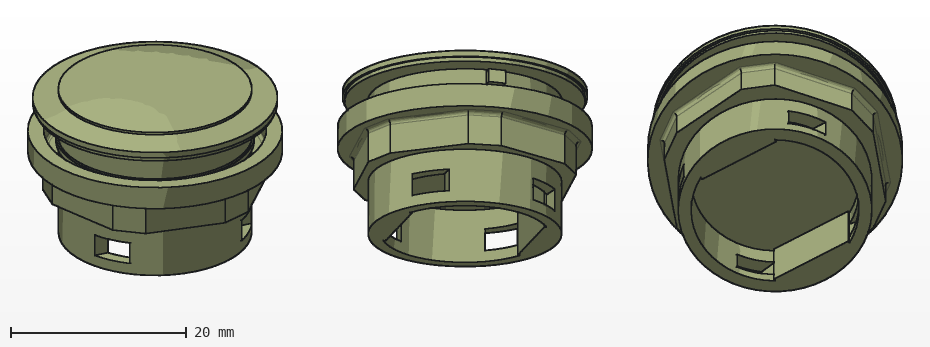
import cadquery as cq
import math

NUT_BOTTOM = 6.3
FLANGE_BOTTOM = 10.3
FLANGE_TOP = 13.0
CAP_BOTTOM = 16.0
RIM_BOTTOM = 16.5
RIM_TOP = 17.2
CROWN_BOTTOM = 17.98
CROWN_EDGE = 18.27
TOTAL_HEIGHT = 19.79

BARREL_DIAMETER = 22.05
NECK_DIAMETER = 22.2
FLANGE_DIAMETER = 29.0
RECESS_DIAMETER = 25.35
CAP_STEP_DIAMETER = 27.4
RIM_DIAMETER = 27.9
CROWN_DIAMETER = 22.05
CROWN_SEAT_DIAMETER = 21.6
BORE_DIAMETER = 19.1

LIP_DIAMETER = 22.6
LIP_TOP = 12.25
LIP_BOTTOM = 11.6
NECK_FOOT = 12.38
GROOVE_DIAMETER = 21.8
GROOVE_BOTTOM = 11.85

NUT_ACROSS_FLATS = 24.05
NUT_ACROSS_CORNERS = 25.55
NUT_CORNER_ANGLE = 22.5
HEX_SIDES = 6
NUT_FILLET = 0.5
RECESS_FILLET = 0.4

WINDOW_BOTTOM = 1.35
WINDOW_TOP = 3.95
WINDOW_INNER_X = 5.03
WINDOW_OUTER_X = 8.52
WINDOW_BORE_X = 8.17

LUG_INNER_X = 7.9

TAB_BOTTOM = 14.2
TAB_HEIGHT = 1.55
TAB_WIDTH = 2.0
TAB_REACH = 12.1
TAB_ROOT = 10.1


def on_circle(diameter, offset):
    """Distance from the centre line to a circle, at a sideways offset from that line."""
    return math.sqrt((diameter / 2) ** 2 - offset**2)


def make_body():
    """Barrel, neck, cap and domed crown, revolved about Z."""
    crown_radius = CROWN_DIAMETER / 2
    dome_rise = TOTAL_HEIGHT - CROWN_EDGE
    dome_radius = (crown_radius**2 + dome_rise**2) / (2 * dome_rise)
    middle_x = crown_radius / 2
    middle_z = TOTAL_HEIGHT - dome_radius + on_circle(2 * dome_radius, middle_x)
    return (
        cq.Workplane("XZ")
        .moveTo(0, 0)
        .lineTo(BARREL_DIAMETER / 2, 0)
        .lineTo(BARREL_DIAMETER / 2, LIP_BOTTOM)
        .lineTo(LIP_DIAMETER / 2, LIP_BOTTOM)
        .lineTo(LIP_DIAMETER / 2, LIP_TOP)
        .lineTo(GROOVE_DIAMETER / 2, GROOVE_BOTTOM)
        .lineTo(NECK_DIAMETER / 2, NECK_FOOT)
        .lineTo(NECK_DIAMETER / 2, CAP_BOTTOM)
        .lineTo(CAP_STEP_DIAMETER / 2, CAP_BOTTOM)
        .lineTo(CAP_STEP_DIAMETER / 2, RIM_BOTTOM)
        .lineTo(RIM_DIAMETER / 2, RIM_BOTTOM)
        .lineTo(RIM_DIAMETER / 2, RIM_TOP)
        .lineTo(CROWN_SEAT_DIAMETER / 2, CROWN_BOTTOM)
        .lineTo(crown_radius, CROWN_BOTTOM)
        .lineTo(crown_radius, CROWN_EDGE)
        .threePointArc((middle_x, middle_z), (0, TOTAL_HEIGHT))
        .close()
        .revolve(360, (0, 0), (0, 1))
    )


def hexagon(across_flats, height, corner_angle):
    """Hexagonal prism with one corner at the given angle from +X, standing on the nut's bottom."""
    across_points = across_flats / math.cos(math.pi / HEX_SIDES)
    prism = cq.Workplane("XY").workplane(offset=NUT_BOTTOM).polygon(HEX_SIDES, across_points).extrude(height)
    return prism.rotate((0, 0, 0), (0, 0, 1), corner_angle)


def make_nut():
    """Nut with a round flange; a concave fillet joins its flats to the flange."""
    height = FLANGE_BOTTOM - NUT_BOTTOM
    flats = hexagon(NUT_ACROSS_FLATS, height, NUT_CORNER_ANGLE)
    corner_cuts = hexagon(NUT_ACROSS_CORNERS, height, NUT_CORNER_ANGLE + 180 / HEX_SIDES)
    flange = (
        cq.Workplane("XY")
        .workplane(offset=FLANGE_BOTTOM)
        .circle(FLANGE_DIAMETER / 2)
        .extrude(FLANGE_TOP - FLANGE_BOTTOM)
    )
    nut = flats.intersect(corner_cuts).union(flange)
    nut = nut.edges("#Z and %LINE").edges(">Z").fillet(NUT_FILLET)
    recess = (
        cq.Workplane("XY")
        .workplane(offset=FLANGE_BOTTOM)
        .circle(RECESS_DIAMETER / 2)
        .extrude(FLANGE_TOP - FLANGE_BOTTOM)
        .faces("<Z")
        .edges()
        .fillet(RECESS_FILLET)
    )
    return nut.cut(recess)


def make_bore():
    """Blind bore from below, narrowed by two lugs that reach in from +X and -X."""
    lug_width = 2 * on_circle(BORE_DIAMETER, WINDOW_BORE_X)
    bore = cq.Workplane("XY").circle(BORE_DIAMETER / 2).extrude(NUT_BOTTOM)
    lug_length = BORE_DIAMETER / 2 - LUG_INNER_X
    for side in (-1, 1):
        lug = (
            cq.Workplane("XY")
            .center(side * (LUG_INNER_X + lug_length / 2), 0)
            .rect(lug_length, lug_width)
            .extrude(NUT_BOTTOM)
        )
        bore = bore.cut(lug)
    return bore


def make_window(side_x, side_y):
    """Cutter for one window, in the quadrant given by the two signs."""
    outer_y = on_circle(BARREL_DIAMETER, WINDOW_OUTER_X)
    bore_y = on_circle(BORE_DIAMETER, WINDOW_BORE_X)
    clear = BARREL_DIAMETER / 2
    corners = [
        (WINDOW_INNER_X, bore_y),
        (WINDOW_BORE_X, bore_y),
        (WINDOW_OUTER_X, outer_y),
        (WINDOW_OUTER_X, clear),
        (WINDOW_INNER_X, clear),
    ]
    return (
        cq.Workplane("XY")
        .workplane(offset=WINDOW_BOTTOM)
        .polyline([(side_x * x, side_y * y) for x, y in corners])
        .close()
        .extrude(WINDOW_TOP - WINDOW_BOTTOM)
    )


def make_tab():
    """Small rectangular tab on the +Y side of the neck."""
    return (
        cq.Workplane("XY")
        .workplane(offset=TAB_BOTTOM)
        .center(0, (TAB_ROOT + TAB_REACH) / 2)
        .rect(TAB_WIDTH, TAB_REACH - TAB_ROOT)
        .extrude(TAB_HEIGHT)
    )


result = make_body().union(make_nut()).union(make_tab()).cut(make_bore())
for side_x in (-1, 1):
    for side_y in (-1, 1):
        result = result.cut(make_window(side_x, side_y))